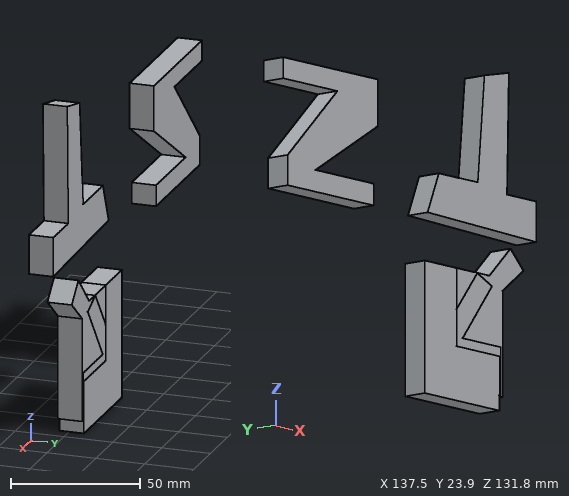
import cadquery as cq

THICKNESS = 10.0

CROSS_FRONT = 0.0
STACK_FRONT = 8.3
ZIGZAG_FRONT = 13.9

ZIGZAG_TOP = 121.3
ZIGZAG_BOTTOM = 71.1
ZIGZAG_RIGHT = 56.8
ZIGZAG_FOOT_LEFT = 2.6
ZIGZAG_FOOT_RIGHT = 54.3
TOP_BAR_HEIGHT = 8.4
FOOT_BAR_HEIGHT = 8.7
DIAGONAL_RIGHT_Z = 102.7
DIAGONAL_FOOT_X = 19.5
DIAGONAL_LEFT_Z = 83.1
DIAGONAL_TOP_X = 32.5

CROSS_RIGHT = 135.5
CROSS_ARM_LEFT_TOP = 85.5
CROSS_ARM_RIGHT_TOP = 83.5
CROSS_LEFT_CORNER = (70.1, 69.0)
CROSS_ARM_LEFT_X = 76.9
STEM_ROOT_LEFT_X = 100.3
STEM_TOP_LEFT = (104.3, 128.5)
STEM_TOP_RIGHT = (119.0, 131.8)
STEM_ROOT_RIGHT_X = 117.9
CROSS_RIGHT_BOTTOM = 67.4

STACK_LEFT = 78.3
STACK_TOP = 52.4

ANGLE_RIGHT = 123.1
ANGLE_POST_RIGHT = 97.4
ANGLE_FOOT_TOP = 21.5

BRANCH_RIGHT = 123.9
BRANCH_BOTTOM = 6.0
BRANCH_POST_RIGHT = 85.4
BRANCH_LEDGE = 33.1
BRANCH_FOOT_TOP = 25.2
BRANCH_INNER_X = 101.0
BRANCH_TIP_RIGHT = (118.5, 48.4)
BRANCH_TIP_LEFT_X = 109.8
BRANCH_LEDGE_RIGHT = 95.0
BRANCH_TIP_GAP = 0.1

FLAG_RIGHT = 125.2
FLAG_BOTTOM = 5.6
FLAG_ARM_LOWER_Z = 47.7
FLAG_ARM_RIGHT_TIP = (137.5, 57.5)
FLAG_ARM_TOP_TIP = (129.7, 65.0)
FLAG_ARM_UPPER_X = 117.0


def plate(front, outline):
    """Extrude an XZ outline backward (+Y) from its front face."""
    plane = cq.Workplane("XZ", origin=(0, front, 0))
    return plane.polyline(outline).close().extrude(-THICKNESS)


def make_zigzag():
    top_bar_bottom = ZIGZAG_TOP - TOP_BAR_HEIGHT
    foot_top = ZIGZAG_BOTTOM + FOOT_BAR_HEIGHT
    return plate(ZIGZAG_FRONT, [
        (0, ZIGZAG_TOP),
        (ZIGZAG_RIGHT, ZIGZAG_TOP),
        (ZIGZAG_RIGHT, DIAGONAL_RIGHT_Z),
        (DIAGONAL_FOOT_X, foot_top),
        (ZIGZAG_FOOT_RIGHT, foot_top),
        (ZIGZAG_FOOT_RIGHT, ZIGZAG_BOTTOM),
        (ZIGZAG_FOOT_LEFT, ZIGZAG_BOTTOM),
        (ZIGZAG_FOOT_LEFT, DIAGONAL_LEFT_Z),
        (DIAGONAL_TOP_X, top_bar_bottom),
        (0, top_bar_bottom),
    ])


def make_cross():
    return plate(CROSS_FRONT, [
        CROSS_LEFT_CORNER,
        (CROSS_ARM_LEFT_X, CROSS_ARM_LEFT_TOP),
        (STEM_ROOT_LEFT_X, CROSS_ARM_LEFT_TOP),
        STEM_TOP_LEFT,
        STEM_TOP_RIGHT,
        (STEM_ROOT_RIGHT_X, CROSS_ARM_RIGHT_TOP),
        (CROSS_RIGHT, CROSS_ARM_RIGHT_TOP),
        (CROSS_RIGHT, CROSS_RIGHT_BOTTOM),
    ])


def make_angle():
    return plate(STACK_FRONT, [
        (STACK_LEFT, 0),
        (ANGLE_RIGHT, 0),
        (ANGLE_RIGHT, ANGLE_FOOT_TOP),
        (ANGLE_POST_RIGHT, ANGLE_FOOT_TOP),
        (ANGLE_POST_RIGHT, STACK_TOP),
        (STACK_LEFT, STACK_TOP),
    ])


def branch_blank():
    return plate(STACK_FRONT, [
        (STACK_LEFT, BRANCH_BOTTOM),
        (BRANCH_RIGHT, BRANCH_BOTTOM),
        (BRANCH_RIGHT, BRANCH_FOOT_TOP),
        (BRANCH_INNER_X, BRANCH_FOOT_TOP),
        BRANCH_TIP_RIGHT,
        (BRANCH_TIP_LEFT_X, STACK_TOP - BRANCH_TIP_GAP),
        (BRANCH_LEDGE_RIGHT, BRANCH_LEDGE),
        (BRANCH_POST_RIGHT, BRANCH_LEDGE),
        (BRANCH_POST_RIGHT, STACK_TOP),
        (STACK_LEFT, STACK_TOP),
    ])


def flag_blank():
    return plate(STACK_FRONT, [
        (STACK_LEFT, FLAG_BOTTOM),
        (FLAG_RIGHT, FLAG_BOTTOM),
        (FLAG_RIGHT, FLAG_ARM_LOWER_Z),
        FLAG_ARM_RIGHT_TIP,
        FLAG_ARM_TOP_TIP,
        (FLAG_ARM_UPPER_X, STACK_TOP),
        (STACK_LEFT, STACK_TOP),
    ])


zigzag = make_zigzag()
cross = make_cross()

angle = make_angle()
branch = branch_blank().cut(angle)
flag = flag_blank().cut(angle).cut(branch)

result = cq.Compound.makeCompound([
    *zigzag.vals(),
    *cross.vals(),
    *angle.vals(),
    *branch.vals(),
    *flag.vals(),
])